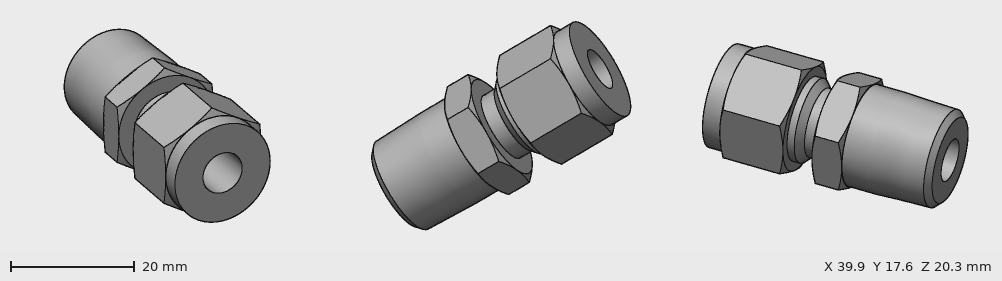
import cadquery as cq
import math

tip_chamfer_end = 1.05
taper_end = 10.35
body_hex_start = 15.3
body_hex_end = 20.58
neck_end = 23.15
shoulder_cone_end = 24.35
nut_start = 25.65
nut_end = 36.8
total_length = 39.88

tip_radius = 7.2
taper_start_radius = 8.25
thread_radius = 8.57
neck_radius = 5.85
shoulder_radius = 7.15
collar_radius = 8.75
bore_radius = 3.6

body_hex_flats = 17.4
nut_flats = 17.55
hex_chamfer_length = 0.6


def revolve_about_x(points):
    """Revolve an (axial, radial) outline, closed along the axis, about X."""
    outline = [(points[0][0], 0), *points, (points[-1][0], 0)]
    return cq.Workplane("XY").polyline(outline).close().revolve(360, (0, 0, 0), (1, 0, 0))


def chamfered_hex(start, end, flats):
    """Hexagonal prism whose corners are turned down to the flats at both ends."""
    flat_radius = flats / 2
    corner_radius = flat_radius / math.cos(math.pi / 6)
    prism = (
        cq.Workplane("YZ", origin=(start, 0, 0))
        .transformed(rotate=(0, 0, 90))
        .polygon(6, 2 * corner_radius)
        .extrude(end - start)
    )
    turned_envelope = revolve_about_x([
        (start, flat_radius),
        (start + hex_chamfer_length, corner_radius),
        (end - hex_chamfer_length, corner_radius),
        (end, flat_radius),
    ])
    return prism.intersect(turned_envelope)


core = revolve_about_x([
    (0, tip_radius),
    (tip_chamfer_end, taper_start_radius),
    (taper_end, thread_radius),
    (body_hex_start, thread_radius),
    (body_hex_start, neck_radius),
    (neck_end, neck_radius),
    (shoulder_cone_end, shoulder_radius),
    (nut_end, shoulder_radius),
    (nut_end, collar_radius),
    (total_length, collar_radius),
])
body_hex = chamfered_hex(body_hex_start, body_hex_end, body_hex_flats)
nut = chamfered_hex(nut_start, nut_end, nut_flats)
bore = cq.Workplane("YZ").circle(bore_radius).extrude(total_length)

result = core.union(body_hex).union(nut).cut(bore)